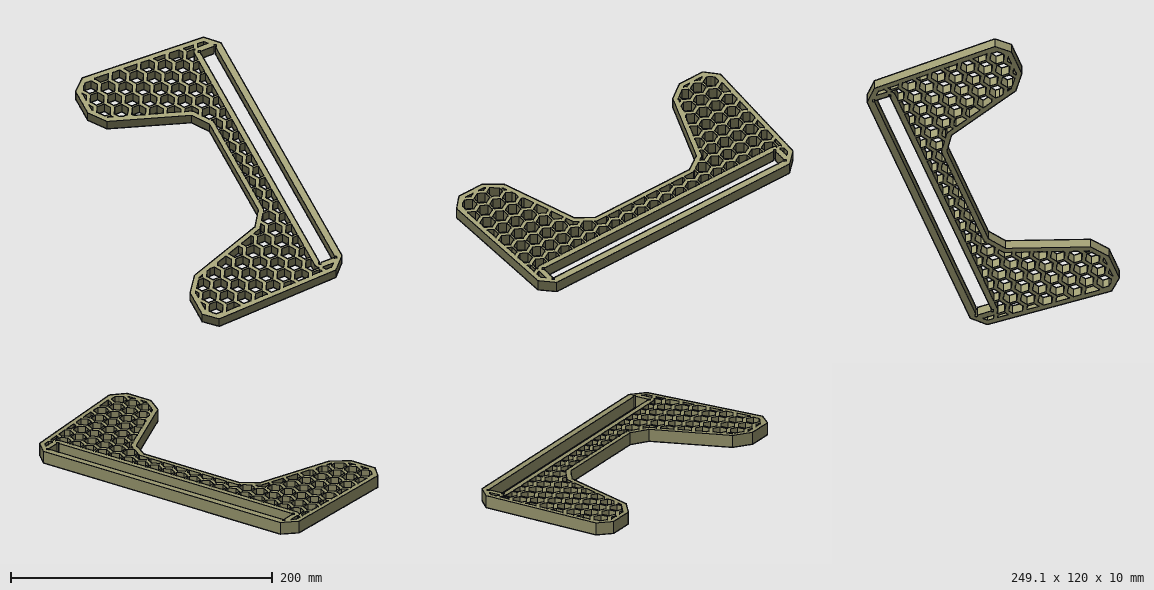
import cadquery as cq
import math

length = 249.1
depth = 120.0
thickness = 10.0
half_depth = depth / 2

top_edge_half = 109.9
shoulder_half = 120.3
foot_outer_half = 115.0
foot_inner_half = 93.0
leg_inner_half = 79.5
notch_mouth_half = 57.5
notch_top_half = 44.3
corner_drop = 10.0
notch_top_y = half_depth - 40.0
notch_mouth_y = half_depth - 49.0
border_width = 4.0

slot_half_length = 109.0
slot_width = 12.7
slot_back_wall = 5.5
slot_wall = 4.5
relief_radius = 1.0
relief_offset = 0.2
slot_center_y = half_depth - slot_back_wall - slot_width / 2

cell_radius = 6.0
cell_wall = 1.65
cell_across_flats = math.sqrt(3) * cell_radius
cell_pitch = cell_across_flats + cell_wall
corner_angle = math.pi / 3


def outline():
    """Symmetric U-shaped outline of the plate."""
    right_side = [
        (top_edge_half, half_depth),
        (shoulder_half, half_depth - corner_drop),
        (length / 2, corner_drop - half_depth),
        (foot_outer_half, -half_depth),
        (foot_inner_half, -half_depth),
        (leg_inner_half, corner_drop - half_depth),
        (notch_mouth_half, notch_mouth_y),
        (notch_top_half, notch_top_y),
    ]
    left_side = [(-x, y) for x, y in reversed(right_side)]
    return cq.Workplane("XY").polyline(right_side + left_side).close()


def slot_block(margin):
    """Slot volume grown by a margin, with rounded corners when grown."""
    block = (
        cq.Workplane("XY")
        .center(0, slot_center_y)
        .rect(2 * (slot_half_length + margin), slot_width + 2 * margin)
        .extrude(thickness)
    )
    if margin > 0:
        block = block.edges("|Z").fillet(margin)
    return block


def corner_reliefs():
    """Round relief holes centred just outside the slot corners."""
    return (
        cq.Workplane("XY")
        .center(0, slot_center_y)
        .rect(
            2 * (slot_half_length + relief_offset),
            slot_width + 2 * relief_offset,
            forConstruction=True,
        )
        .vertices()
        .circle(relief_radius)
        .extrude(thickness)
    )


def cell_centers():
    """Staggered grid over the whole plate; odd rows have a cell on the symmetry plane."""
    rows = math.ceil(half_depth / cell_pitch)
    columns = math.ceil(length / 2 / cell_pitch)
    centers = []
    for row in range(-rows, rows + 1):
        shift = 0 if row % 2 else cell_pitch / 2
        for column in range(-columns - 1, columns + 1):
            centers.append((column * cell_pitch + shift, row * cell_pitch))
    return centers


def honeycomb_cells():
    """Hexagonal prisms with a point toward +Y, trimmed to the border and the slot wall."""
    hexagon = [
        (cell_radius * math.sin(i * corner_angle), cell_radius * math.cos(i * corner_angle))
        for i in range(6)
    ]
    prism = cq.Workplane("XY").polyline(hexagon).close().extrude(thickness).val()
    cells = cq.Workplane("XY").pushPoints(cell_centers()).eachpoint(prism.moved)
    field = outline().offset2D(-border_width, "intersection").extrude(thickness)
    return field.cut(slot_block(slot_wall)).intersect(cells.combine(glue=True))


plate = outline().extrude(thickness)
result = plate.cut(honeycomb_cells()).cut(slot_block(0)).cut(corner_reliefs())